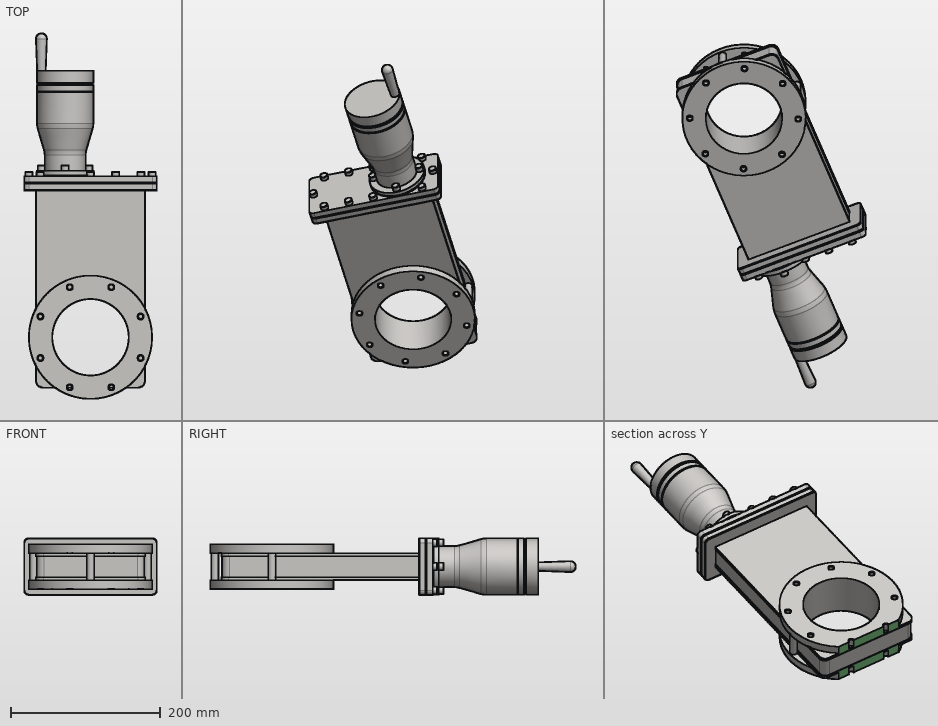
import cadquery as cq
import math


FLANGE_DIA = 165.1
FLANGE_THICK = 12.0
FACE_TO_FACE = 60.4
BORE_DIA = 102.0
BOLT_CIRCLE_DIA = 145.0
BOLT_HOLE_COUNT = 8
BOLT_HOLE_DIA = 6.6
COUNTERSINK_DIA = 8.4
COUNTERSINK_ANGLE = 90.0

POST_DIA = 10.3
POST_CIRCLE_RADIUS = 76.2
POST_ANGLES = (180.0, 270.0, 360.0)

BODY_WIDTH = 146.0
BODY_THICK = FACE_TO_FACE - 2 * FLANGE_THICK
BODY_FRONT_Y = -67.6
BODY_CORNER_RADIUS = 9.5
COVER_THICK = 4.2
WALL_RECESS = 0.8

BONNET_WIDTH = 177.8
BONNET_HEIGHT = 75.95
BONNET_FRONT_Y = 196.2
BONNET_THICK = 19.2
BONNET_BACK_Y = BONNET_FRONT_Y + BONNET_THICK
BONNET_CORNER_RADIUS = 6.35
BONNET_CHAMFER_LENGTH = 1.4
BONNET_CHAMFER_DEPTH = 0.6
JOINT_Y = 206.2
JOINT_WIDTH = 1.8
JOINT_DEPTH = 0.5

ACTUATOR_X = -33.9
ACTUATOR_RADIUS = BONNET_HEIGHT / 2
NECK_RADIUS = 27.6
BASE_RELIEF_RADIUS = ACTUATOR_RADIUS - 0.8
BASE_RELIEF_TOP_Y = BONNET_BACK_Y + 1.4
BASE_TOP_Y = 223.0
CONE_START_Y = 247.4
CONE_END_Y = 282.8
CONE_BLEND_RADIUS = 25.4
BARREL_GROOVE_Y = 328.6
BARREL_GROOVE_WIDTH = 1.4
BARREL_GROOVE_DEPTH = 0.5
CAP_GAP_START_Y = 338.1
CAP_GAP_END_Y = 339.6
CAP_GAP_CHAMFER = 0.9
SPINDLE_RADIUS = 10.0
CAP_TOP_Y = 356.5

HANDLE_OFFSET = 31.75
HANDLE_BASE_RADIUS = 5.9
HANDLE_TIP_RADIUS = 7.5
HANDLE_END_Y = 406.58

SCREW_HEAD_DIA = 10.0
SCREW_HEAD_CHAMFER = 0.5
BONNET_SCREW_HEIGHT = 5.8
BASE_SCREW_HEIGHT = 7.0
BASE_SCREW_RADIUS = 31.75
BONNET_SCREW_ROW_Z = 31.75
BONNET_SCREW_PITCH = 33.7
BONNET_SCREW_END_X = 82.4


def slab(width, y_front, y_back, height):
    """Box centred on X and Z between two Y positions."""
    box = cq.Workplane("XY").box(width, y_back - y_front, height)
    return box.translate((0, (y_front + y_back) / 2, 0))


def y_cylinder(radius, y_start, y_end, x=0.0, z=0.0):
    """Cylinder with its axis parallel to Y."""
    return cq.Workplane(
        cq.Solid.makeCylinder(radius, y_end - y_start, cq.Vector(x, y_start, z), cq.Vector(0, 1, 0))
    )


def make_housing():
    covers = slab(BODY_WIDTH, BODY_FRONT_Y, BONNET_FRONT_Y, BODY_THICK)
    covers = covers.edges("|Z and <Y").fillet(BODY_CORNER_RADIUS)
    wall_height = BODY_THICK - 2 * COVER_THICK
    middle = slab(2 * BODY_WIDTH, 2 * BODY_FRONT_Y, BONNET_FRONT_Y, wall_height)
    wall = slab(BODY_WIDTH - 2 * WALL_RECESS, BODY_FRONT_Y + WALL_RECESS, BONNET_FRONT_Y, wall_height)
    wall = wall.edges("|Z and <Y").fillet(BODY_CORNER_RADIUS)
    return covers.cut(middle).union(wall)


def make_pipe_flange():
    """Upper pipe flange with countersunk bolt holes."""
    return (
        cq.Workplane("XY", origin=(0, 0, BODY_THICK / 2))
        .circle(FLANGE_DIA / 2)
        .extrude(FLANGE_THICK)
        .faces(">Z")
        .workplane()
        .polarArray(BOLT_CIRCLE_DIA / 2, 180 / BOLT_HOLE_COUNT, 360, BOLT_HOLE_COUNT)
        .cskHole(BOLT_HOLE_DIA, COUNTERSINK_DIA, COUNTERSINK_ANGLE)
    )


def make_bore():
    bore = cq.Workplane("XY", origin=(0, 0, -FACE_TO_FACE / 2))
    return bore.circle(BORE_DIA / 2).extrude(FACE_TO_FACE)


def make_posts():
    centres = [
        (
            POST_CIRCLE_RADIUS * math.cos(math.radians(angle)),
            POST_CIRCLE_RADIUS * math.sin(math.radians(angle)),
        )
        for angle in POST_ANGLES
    ]
    return (
        cq.Workplane("XY", origin=(0, 0, -BODY_THICK / 2))
        .pushPoints(centres)
        .circle(POST_DIA / 2)
        .extrude(BODY_THICK)
    )


def make_bonnet():
    bonnet = slab(BONNET_WIDTH, BONNET_FRONT_Y, BONNET_BACK_Y, BONNET_HEIGHT)
    bonnet = bonnet.edges("|Y").fillet(BONNET_CORNER_RADIUS)
    bonnet = bonnet.faces("<Y").chamfer(BONNET_CHAMFER_DEPTH, BONNET_CHAMFER_LENGTH)
    joint_start = JOINT_Y - JOINT_WIDTH / 2
    joint_end = JOINT_Y + JOINT_WIDTH / 2
    joint = slab(BONNET_WIDTH, joint_start, joint_end, BONNET_HEIGHT)
    core = slab(
        BONNET_WIDTH - 2 * JOINT_DEPTH, joint_start, joint_end, BONNET_HEIGHT - 2 * JOINT_DEPTH
    )
    core = core.edges("|Y").fillet(BONNET_CORNER_RADIUS - JOINT_DEPTH)
    return bonnet.cut(joint.cut(core))


def make_actuator():
    """Turned base, neck, cone, barrel and cap; profile in radius and Y."""
    slope = math.atan2(ACTUATOR_RADIUS - NECK_RADIUS, CONE_END_Y - CONE_START_Y)
    tangent = CONE_BLEND_RADIUS * math.tan(slope / 2)
    tangent_y = tangent * math.cos(slope)
    tangent_r = tangent * math.sin(slope)
    mid_y = CONE_BLEND_RADIUS * math.sin(slope / 2)
    mid_r = CONE_BLEND_RADIUS * (1 - math.cos(slope / 2))
    groove_radius = ACTUATOR_RADIUS - BARREL_GROOVE_DEPTH
    groove_start = BARREL_GROOVE_Y - BARREL_GROOVE_WIDTH / 2
    groove_end = BARREL_GROOVE_Y + BARREL_GROOVE_WIDTH / 2
    profile = (
        cq.Workplane("XY")
        .moveTo(0, BONNET_BACK_Y)
        .lineTo(BASE_RELIEF_RADIUS, BONNET_BACK_Y)
        .lineTo(BASE_RELIEF_RADIUS, BASE_RELIEF_TOP_Y)
        .lineTo(ACTUATOR_RADIUS, BASE_RELIEF_TOP_Y)
        .lineTo(ACTUATOR_RADIUS, BASE_TOP_Y)
        .lineTo(NECK_RADIUS, BASE_TOP_Y)
        .lineTo(NECK_RADIUS, CONE_START_Y - tangent)
        .threePointArc(
            (NECK_RADIUS + mid_r, CONE_START_Y - tangent + mid_y),
            (NECK_RADIUS + tangent_r, CONE_START_Y + tangent_y),
        )
        .lineTo(ACTUATOR_RADIUS - tangent_r, CONE_END_Y - tangent_y)
        .threePointArc(
            (ACTUATOR_RADIUS - mid_r, CONE_END_Y + tangent - mid_y),
            (ACTUATOR_RADIUS, CONE_END_Y + tangent),
        )
        .lineTo(ACTUATOR_RADIUS, groove_start)
        .lineTo(groove_radius, groove_start)
        .lineTo(groove_radius, groove_end)
        .lineTo(ACTUATOR_RADIUS, groove_end)
        .lineTo(ACTUATOR_RADIUS, CAP_GAP_START_Y - CAP_GAP_CHAMFER)
        .lineTo(ACTUATOR_RADIUS - CAP_GAP_CHAMFER, CAP_GAP_START_Y)
        .lineTo(SPINDLE_RADIUS, CAP_GAP_START_Y)
        .lineTo(SPINDLE_RADIUS, CAP_GAP_END_Y)
        .lineTo(ACTUATOR_RADIUS - CAP_GAP_CHAMFER, CAP_GAP_END_Y)
        .lineTo(ACTUATOR_RADIUS, CAP_GAP_END_Y + CAP_GAP_CHAMFER)
        .lineTo(ACTUATOR_RADIUS, CAP_TOP_Y)
        .lineTo(0, CAP_TOP_Y)
        .close()
    )
    return profile.revolve(360, (0, 0, 0), (0, 1, 0)).translate((ACTUATOR_X, 0, 0))


def make_handle():
    """Tapered grip that widens toward a round end."""
    dome_y = HANDLE_END_Y - HANDLE_TIP_RADIUS
    dome_mid = HANDLE_TIP_RADIUS * math.sqrt(0.5)
    profile = (
        cq.Workplane("XY")
        .moveTo(0, CAP_TOP_Y)
        .lineTo(HANDLE_BASE_RADIUS, CAP_TOP_Y)
        .lineTo(HANDLE_TIP_RADIUS, dome_y)
        .threePointArc((dome_mid, dome_y + dome_mid), (0, HANDLE_END_Y))
        .close()
    )
    grip = profile.revolve(360, (0, 0, 0), (0, 1, 0))
    return grip.translate((ACTUATOR_X - HANDLE_OFFSET, 0, 0))


def make_screw_head(x, z, seat_y, height):
    head = y_cylinder(SCREW_HEAD_DIA / 2, seat_y, seat_y + height, x, z)
    return head.faces(">Y").chamfer(SCREW_HEAD_CHAMFER)


def clears_actuator(x, z):
    """True where a bonnet screw lies outside the actuator base."""
    return math.hypot(x - ACTUATOR_X, z) > ACTUATOR_RADIUS + SCREW_HEAD_DIA / 2


def make_screws():
    places = [(-BONNET_SCREW_END_X, 0), (BONNET_SCREW_END_X, 0)]
    for step in range(-2, 3):
        for side in (-1, 1):
            places.append((step * BONNET_SCREW_PITCH, side * BONNET_SCREW_ROW_Z))
    heads = [
        make_screw_head(x, z, BONNET_BACK_Y, BONNET_SCREW_HEIGHT)
        for x, z in places
        if clears_actuator(x, z)
    ]
    for dx, dz in ((1, 0), (0, 1), (-1, 0), (0, -1)):
        x = ACTUATOR_X + dx * BASE_SCREW_RADIUS
        z = dz * BASE_SCREW_RADIUS
        heads.append(make_screw_head(x, z, BASE_TOP_Y, BASE_SCREW_HEIGHT))
    return heads


upper_flange = make_pipe_flange()
valve = make_housing().union(upper_flange).union(upper_flange.mirror("XY")).union(make_posts())
valve = valve.cut(make_bore())
valve = valve.union(make_bonnet()).union(make_actuator()).union(make_handle())
for screw_head in make_screws():
    valve = valve.union(screw_head)

result = valve